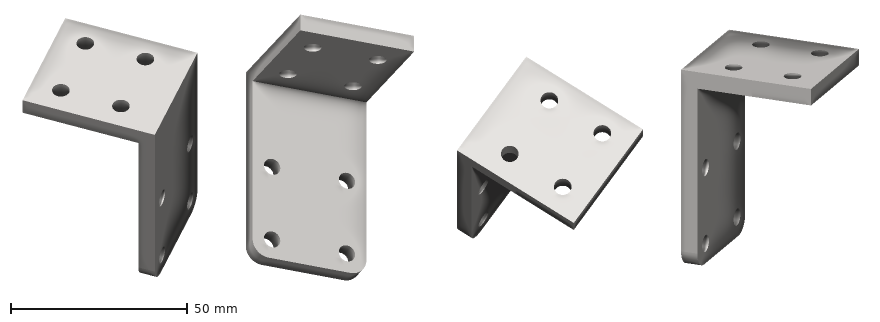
import cadquery as cq

length = 40.0
width = 35.0
height = 60.0
thickness = 5.0
corner_radius = 5.0

hole_diameter = 5.0

plate_hole_end_offset = 8.85
plate_hole_pitch_x = 18.15
plate_hole_pitch_y = 20.0

upright_hole_pitch = 23.0
upright_hole_bottom_offset = 6.0

cut_margin = 1.0
drill_depth = thickness + 2 * cut_margin


def make_bracket():
    """Horizontal plate on top, upright plate hanging from its +X end."""
    plate = cq.Workplane("XY").box(length, width, thickness, centered=(False, True, False))
    plate = plate.translate((0, 0, height - thickness))
    upright = cq.Workplane("XY").box(thickness, width, height, centered=(False, True, False))
    upright = upright.translate((length - thickness, 0, 0))
    upright = upright.edges("|X and <Z").fillet(corner_radius)
    return plate.union(upright)


def plate_drills():
    """Vertical drills for the horizontal plate."""
    center_x = plate_hole_end_offset + plate_hole_pitch_x / 2
    return (
        cq.Workplane("XY", origin=(center_x, 0, height - thickness - cut_margin))
        .rarray(plate_hole_pitch_x, plate_hole_pitch_y, 2, 2)
        .circle(hole_diameter / 2)
        .extrude(drill_depth)
    )


def upright_drills():
    """Drills along X for the upright plate."""
    center_z = upright_hole_bottom_offset + upright_hole_pitch / 2
    return (
        cq.Workplane("YZ", origin=(length - thickness - cut_margin, 0, center_z))
        .rarray(upright_hole_pitch, upright_hole_pitch, 2, 2)
        .circle(hole_diameter / 2)
        .extrude(drill_depth)
    )


result = make_bracket().cut(plate_drills()).cut(upright_drills())